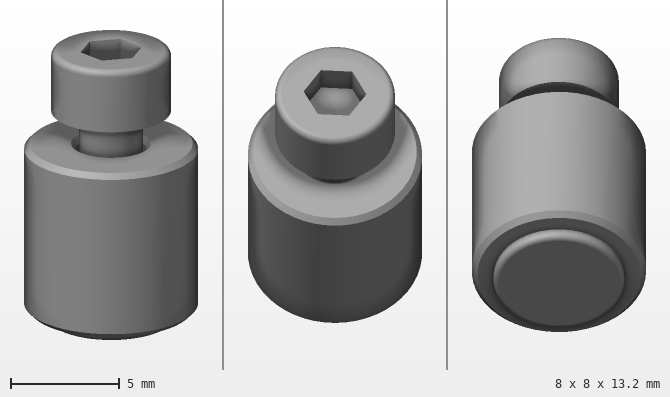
import cadquery as cq
import math

total_height = 13.2
foot_height = 0.5
foot_diameter = 6.0
foot_fillet = 0.25

sleeve_diameter = 8.0
sleeve_length = 8.09
sleeve_chamfer = 0.25
bore_diameter = 3.2
bore_chamfer = 0.24

head_diameter = 5.5
head_height = 3.0
head_fillet = 0.3
shank_diameter = 2.93

hex_sides = 6
hex_across_flats = 2.5
hex_wall_depth = 1.35
hex_tip_depth = 0.1

sleeve_bottom = foot_height
sleeve_top = sleeve_bottom + sleeve_length
head_bottom = total_height - head_height


def cylinder(diameter, bottom, top):
    """Upright cylinder on the Z axis between two levels."""
    return cq.Workplane("XY").workplane(offset=bottom).circle(diameter / 2).extrude(top - bottom)


def make_foot():
    """Solid disc under the sleeve, rounded at its lower rim."""
    disc = cylinder(foot_diameter, 0, foot_height)
    return disc.faces("<Z").edges().fillet(foot_fillet)


def make_sleeve():
    """Chamfered cylinder with a through bore that is chamfered at the top."""
    body = cylinder(sleeve_diameter, sleeve_bottom, sleeve_top)
    body = body.faces("<Z or >Z").edges().chamfer(sleeve_chamfer)
    bore = cylinder(bore_diameter, sleeve_bottom, sleeve_top)
    body = body.cut(bore)
    bore_rim = cq.selectors.RadiusNthSelector(0)
    return body.faces(">Z").edges(bore_rim).chamfer(bore_chamfer)


def make_hex_socket():
    """Hexagonal socket with corners on the Y axis and a six-sided pointed floor."""
    corner_radius = hex_across_flats / math.sqrt(3)
    corners = []
    for index in range(hex_sides):
        angle = math.radians(90 + 360 / hex_sides * index)
        corners.append((corner_radius * math.cos(angle), corner_radius * math.sin(angle)))

    wall_bottom = total_height - hex_wall_depth
    outline = cq.Workplane("XY").workplane(offset=wall_bottom).polyline(corners).close()
    prism = outline.extrude(hex_wall_depth)

    rim = [cq.Vector(x, y, wall_bottom) for x, y in corners]
    tip = cq.Vector(0, 0, wall_bottom - hex_tip_depth)
    faces = [cq.Face.makeFromWires(cq.Wire.makePolygon(rim, close=True))]
    for index in range(hex_sides):
        side = [rim[index - 1], rim[index], tip]
        faces.append(cq.Face.makeFromWires(cq.Wire.makePolygon(side, close=True)))
    pyramid = cq.Solid.makeSolid(cq.Shell.makeShell(faces))
    return prism.union(cq.Workplane(obj=pyramid))


def make_screw():
    """Cap screw with a hexagonal socket; the shank end rests on the foot."""
    head = cylinder(head_diameter, head_bottom, total_height)
    head = head.faces(">Z").edges().fillet(head_fillet)
    shank = cylinder(shank_diameter, foot_height, head_bottom)
    return head.union(shank).cut(make_hex_socket())


foot = make_foot()
sleeve = make_sleeve()
screw = make_screw()

result = cq.Compound.makeCompound([foot.val(), sleeve.val(), screw.val()])